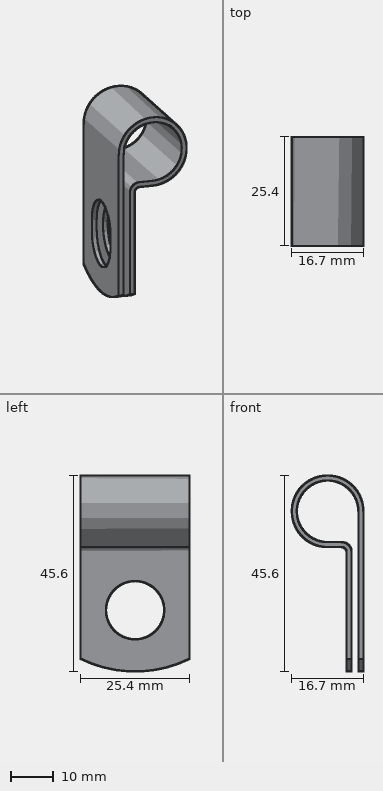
import cadquery as cq
import math

strap_width = 25.4
thickness = 1.22
tube_outer_diameter = 16.71
overall_height = 45.64
leg_gap = 1.53
bend_inner_radius = 1.1
hole_diameter = 13.49
slot_length = 15.875
hole_height_above_tip = 14.29
tip_radius = 28.575

outer_radius = tube_outer_diameter / 2
inner_radius = outer_radius - thickness
bend_outer_radius = bend_inner_radius + thickness
tip_z = outer_radius - overall_height
long_leg_inner_x = outer_radius - thickness
short_leg_inner_x = long_leg_inner_x - leg_gap
short_leg_outer_x = short_leg_inner_x - thickness
bend_center_x = short_leg_inner_x - bend_outer_radius
bend_center_z = -inner_radius - bend_outer_radius
hole_z = tip_z + hole_height_above_tip


def make_strap():
    """Strip wrapped three quarters of a turn, ending in two parallel legs."""
    cos45 = math.cos(math.radians(45))
    bend_outer_mid = (
        bend_center_x + bend_outer_radius * cos45,
        bend_center_z + bend_outer_radius * cos45,
    )
    bend_inner_mid = (
        bend_center_x + bend_inner_radius * cos45,
        bend_center_z + bend_inner_radius * cos45,
    )
    outer_mid = (-outer_radius * cos45, outer_radius * cos45)
    inner_mid = (-inner_radius * cos45, inner_radius * cos45)

    profile = (
        cq.Workplane("XZ")
        .moveTo(outer_radius, tip_z)
        .lineTo(outer_radius, 0)
        .threePointArc(outer_mid, (0, -outer_radius))
        .lineTo(bend_center_x, -outer_radius)
        .threePointArc(bend_inner_mid, (short_leg_outer_x, bend_center_z))
        .lineTo(short_leg_outer_x, tip_z)
        .lineTo(short_leg_inner_x, tip_z)
        .lineTo(short_leg_inner_x, bend_center_z)
        .threePointArc(bend_outer_mid, (bend_center_x, -inner_radius))
        .lineTo(0, -inner_radius)
        .threePointArc(inner_mid, (long_leg_inner_x, 0))
        .lineTo(long_leg_inner_x, tip_z)
        .close()
    )
    return profile.extrude(strap_width / 2, both=True)


def make_face_outline():
    """Strap silhouette along X: straight sides and a shallow arc at the leg tips."""
    half_width = strap_width / 2
    tip_rise = tip_radius - math.sqrt(tip_radius**2 - half_width**2)
    corner_z = tip_z + tip_rise
    return (
        cq.Workplane("YZ")
        .moveTo(-half_width, outer_radius)
        .lineTo(-half_width, corner_z)
        .threePointArc((0, tip_z), (half_width, corner_z))
        .lineTo(half_width, outer_radius)
        .close()
        .extrude(outer_radius, both=True)
    )


def make_round_hole():
    """Cutter for the round bolt hole in the short leg."""
    return (
        cq.Workplane("YZ", origin=(short_leg_outer_x, 0, hole_z))
        .circle(hole_diameter / 2)
        .extrude(thickness)
    )


def make_adjusting_slot():
    """Cutter for the upright slot in the long leg, as wide as the round hole."""
    return (
        cq.Workplane("YZ", origin=(long_leg_inner_x, 0, hole_z))
        .slot2D(slot_length, hole_diameter, angle=90)
        .extrude(thickness)
    )


clamp = make_strap().intersect(make_face_outline())
result = clamp.cut(make_round_hole()).cut(make_adjusting_slot())